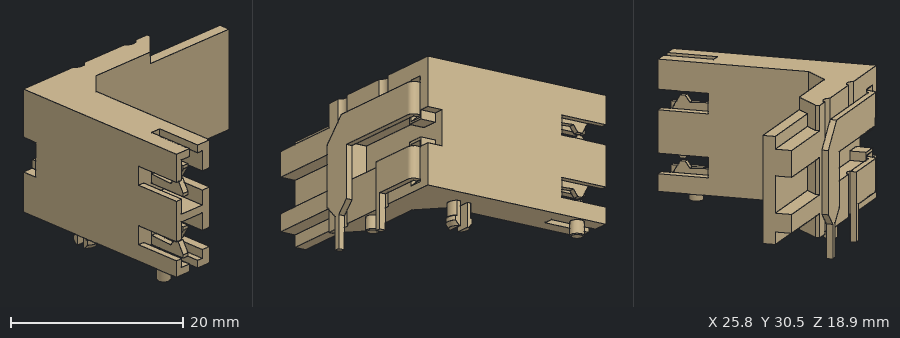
import cadquery as cq


LENGTH_X = 25.0
LENGTH_Y = 30.5
HEIGHT = 15.85
SIDE_ARM_THICKNESS = 3.55
CONTACT_ARM_THICKNESS = 5.5
INNER_CHAMFER = 2.95
BLOCK_END_Y = 20.5
BLOCK_END_FLAT = 0.5

RECESS_DEPTH = 2.0
ARM_PLATE_BOTTOM = 1.4
ARM_PLATE_TOP = 14.37
LOWER_RAIL_BOTTOM = 2.93
RECESS_BOTTOM = 5.2
RECESS_TOP = 9.65
UPPER_RAIL_TOP = 12.85

STOCK = 0.8
BLADE_Y = 2.17
BLADE_BACK_Y = BLADE_Y + STOCK
BLADE_MID_Y = BLADE_Y + STOCK / 2
BLADE_HEIGHT = 4.0
BLADE_TIP_X = 23.97
LOWER_BLADE_BOTTOM = 1.4
UPPER_BLADE_BOTTOM = 9.3
BLADE_BOTTOMS = (LOWER_BLADE_BOTTOM, UPPER_BLADE_BOTTOM)
UPPER_BLADE_TOP = UPPER_BLADE_BOTTOM + BLADE_HEIGHT

JAW_ROOT_HALF_GAP = 0.8
JAW_THROAT_X = 21.9
JAW_THROAT_HALF_GAP = 0.98
JAW_TIP_START_X = 22.5
JAW_TIP_END_X = 23.15
JAW_TIP_HALF_GAP = 0.15
JAW_MOUTH_HALF_GAP = 1.6

FUNNEL_FLARE = 0.55
COLLAR_FRONT_Y = 1.43
COLLAR_BACK_Y = 3.78
COLLAR_REACH = 1.13

CAVITY_DEPTH = 6.2
CAVITY_X = LENGTH_X - CAVITY_DEPTH
CAVITY_FRONT_Y = 0.85
CAVITY_BACK_Y = 2 * BLADE_MID_Y - CAVITY_FRONT_Y
CAVITY_WALL = 1.0
PARTITION_TOP = 7.87
SLOT_BACK_Y = 3.5
WINDOW_HEIGHT = 2.45
WINDOW_BOTTOMS = (2.15, 9.8)

TAIL_LENGTH = 3.05
UPPER_TAIL_Y = 17.65
LOWER_TAIL_Y = 9.18
GROOVE_WIDTH = 1.83
GROOVE_DEPTH = 0.52

PLATE_FRONT_Y = 15.68
PLATE_BACK_Y = 19.67
PLATE_CHAMFER = 2.95
PLATE_TAPER_BOTTOM = 1.13
PLATE_TAPER_TOP = 2.65

PEG_DIAMETER = 1.7
PEG_LENGTH = 1.8
PEG_CHAMFER = 0.12
PEG_INSET = 1.2
CONTACT_ARM_PEG_X = 21.75
SIDE_ARM_PEG_Y = 13.08

SNAP_X = 6.8
SNAP_Y = 3.6
SNAP_RADIUS = 1.4
SNAP_WIDTH = 2.07
SNAP_SPLIT = 1.0
BARB_RADIUS = 1.55
BARB_TOP = 1.85
BARB_BOTTOM = 2.47
SNAP_END_RADIUS = 1.22


def box(x_range, y_range, z_range):
    """Box spanning the given (low, high) ranges."""
    (x0, x1), (y0, y1), (z0, z1) = x_range, y_range, z_range
    return cq.Workplane("XY").box(x1 - x0, y1 - y0, z1 - z0, centered=False).translate((x0, y0, z0))


def housing_block():
    """L-shaped block with an inner corner chamfer and a slanted end on the side arm."""
    slant = SIDE_ARM_THICKNESS - BLOCK_END_FLAT
    return (
        cq.Workplane("XY")
        .moveTo(0, 0)
        .lineTo(LENGTH_X, 0)
        .lineTo(LENGTH_X, CONTACT_ARM_THICKNESS)
        .lineTo(SIDE_ARM_THICKNESS + INNER_CHAMFER, CONTACT_ARM_THICKNESS)
        .lineTo(SIDE_ARM_THICKNESS, CONTACT_ARM_THICKNESS + INNER_CHAMFER)
        .lineTo(SIDE_ARM_THICKNESS, BLOCK_END_Y - slant)
        .lineTo(BLOCK_END_FLAT, BLOCK_END_Y)
        .lineTo(0, BLOCK_END_Y)
        .close()
        .extrude(HEIGHT)
    )


def side_arm():
    """Back plate with two rails, starting inside the block and ending at the full length."""
    y_range = (BLOCK_END_Y - SIDE_ARM_THICKNESS, LENGTH_Y)
    arm = box((RECESS_DEPTH, SIDE_ARM_THICKNESS), y_range, (ARM_PLATE_BOTTOM, ARM_PLATE_TOP))
    for rail in ((LOWER_RAIL_BOTTOM, RECESS_BOTTOM), (RECESS_TOP, UPPER_RAIL_TOP)):
        arm = arm.union(box((0, RECESS_DEPTH), y_range, rail))
    return arm


def corner_recess():
    """Notch in the outer side face, leaving a collar for each funnel."""
    recess = box((0, RECESS_DEPTH), (0, PLATE_FRONT_Y), (RECESS_BOTTOM, RECESS_TOP))
    collar_ranges = (
        (RECESS_BOTTOM, RECESS_BOTTOM + COLLAR_REACH),
        (RECESS_TOP - COLLAR_REACH, RECESS_TOP),
    )
    for z_range in collar_ranges:
        recess = recess.cut(box((0, RECESS_DEPTH), (COLLAR_FRONT_Y, COLLAR_BACK_Y), z_range))
    return recess


def relief_groove(y):
    """Shallow round groove running up the outer side face."""
    return (
        cq.Workplane("XY")
        .moveTo(0, y - GROOVE_WIDTH / 2)
        .threePointArc((GROOVE_DEPTH, y), (0, y + GROOVE_WIDTH / 2))
        .close()
        .extrude(HEIGHT)
    )


def blade_passage(blade_bottom):
    """Fitted channel for a blade, with a 45 degree funnel at its entrance."""
    channel = box((0, CAVITY_X), (BLADE_Y, BLADE_BACK_Y), (blade_bottom, blade_bottom + BLADE_HEIGHT))
    funnel = (
        cq.Workplane("YZ")
        .center(BLADE_MID_Y, blade_bottom + BLADE_HEIGHT / 2)
        .rect(STOCK + 2 * FUNNEL_FLARE, BLADE_HEIGHT + 2 * FUNNEL_FLARE)
        .extrude(FUNNEL_FLARE, taper=45)
    )
    return channel.union(funnel)


def contact_openings():
    """Cavities around the jaws, slots above and below them, and windows through both walls."""
    x_range = (CAVITY_X, LENGTH_X)
    cavity_y = (CAVITY_FRONT_Y, CAVITY_BACK_Y)
    slot_y = (BLADE_Y, SLOT_BACK_Y)
    partition_bottom = PARTITION_TOP - CAVITY_WALL
    openings = [
        box(x_range, cavity_y, (CAVITY_WALL, partition_bottom)),
        box(x_range, cavity_y, (PARTITION_TOP, HEIGHT - CAVITY_WALL)),
        box(x_range, slot_y, (0, partition_bottom)),
        box(x_range, slot_y, (PARTITION_TOP, HEIGHT)),
    ]
    for bottom in WINDOW_BOTTOMS:
        openings.append(box(x_range, (0, CONTACT_ARM_THICKNESS), (bottom, bottom + WINDOW_HEIGHT)))
    return openings


def locating_peg(x, y):
    return (
        cq.Workplane("XY")
        .center(x, y)
        .circle(PEG_DIAMETER / 2)
        .extrude(-PEG_LENGTH)
        .faces("<Z")
        .chamfer(PEG_CHAMFER)
    )


def snap_peg():
    """Barbed round peg with two flats, split down the middle."""
    peg = (
        cq.Workplane("XZ")
        .moveTo(0, 0)
        .lineTo(SNAP_RADIUS, 0)
        .lineTo(SNAP_RADIUS, -BARB_TOP)
        .lineTo(BARB_RADIUS, -BARB_TOP)
        .lineTo(BARB_RADIUS, -BARB_BOTTOM)
        .lineTo(SNAP_END_RADIUS, -TAIL_LENGTH)
        .lineTo(0, -TAIL_LENGTH)
        .close()
        .revolve(360, (0, 0), (0, 1))
    )
    half_width = SNAP_WIDTH / 2
    half_split = SNAP_SPLIT / 2
    z_range = (-TAIL_LENGTH, 0)
    flats = box((-BARB_RADIUS, BARB_RADIUS), (-half_width, half_width), z_range)
    split = box((-half_split, half_split), (-half_width, half_width), z_range)
    return peg.intersect(flats).cut(split).translate((SNAP_X, SNAP_Y, 0))


def make_housing():
    body = housing_block().union(side_arm())
    for y in (LOWER_TAIL_Y, UPPER_TAIL_Y):
        body = body.cut(relief_groove(y))
    body = body.cut(corner_recess())
    for blade_bottom in BLADE_BOTTOMS:
        body = body.cut(blade_passage(blade_bottom))
    for opening in contact_openings():
        body = body.cut(opening)
    for x, y in ((PEG_INSET, SIDE_ARM_PEG_Y), (CONTACT_ARM_PEG_X, PEG_INSET)):
        body = body.union(locating_peg(x, y))
    return body.union(snap_peg())


def fork_blade(blade_bottom):
    """Flat blade along X with a pinched, flared fork at its tip."""
    middle = blade_bottom + BLADE_HEIGHT / 2
    opening = (
        (CAVITY_X, JAW_ROOT_HALF_GAP),
        (JAW_THROAT_X, JAW_THROAT_HALF_GAP),
        (JAW_TIP_START_X, JAW_TIP_HALF_GAP),
        (JAW_TIP_END_X, JAW_TIP_HALF_GAP),
        (BLADE_TIP_X, JAW_MOUTH_HALF_GAP),
    )
    upper_edge = [(x, middle + gap) for x, gap in opening]
    lower_edge = [(x, middle - gap) for x, gap in reversed(opening)]
    gap = (
        cq.Workplane("XZ", origin=(0, BLADE_BACK_Y, 0))
        .polyline(upper_edge + lower_edge)
        .close()
        .extrude(STOCK)
    )
    blade = box((0, BLADE_TIP_X), (BLADE_Y, BLADE_BACK_Y), (blade_bottom, blade_bottom + BLADE_HEIGHT))
    return blade.cut(gap)


def corner_bend(blade_bottom):
    """Quarter-round bend joining a blade to its plate on the outer side face."""
    diagonal = STOCK * 0.5**0.5
    return (
        cq.Workplane("XY", origin=(0, BLADE_BACK_Y, blade_bottom))
        .moveTo(0, 0)
        .lineTo(-STOCK, 0)
        .threePointArc((-diagonal, -diagonal), (0, -STOCK))
        .close()
        .extrude(BLADE_HEIGHT)
    )


def make_terminal(blade_bottom, plate_points):
    """One bent terminal: plate and tail on the side face, bend, and forked blade."""
    plate = cq.Workplane("YZ").polyline(plate_points).close().extrude(-STOCK)
    return plate.union(corner_bend(blade_bottom)).union(fork_blade(blade_bottom))


def upper_plate_points():
    tail_front = UPPER_TAIL_Y - STOCK / 2
    tail_back = UPPER_TAIL_Y + STOCK / 2
    return [
        (BLADE_BACK_Y, UPPER_BLADE_TOP),
        (PLATE_BACK_Y - PLATE_CHAMFER, UPPER_BLADE_TOP),
        (PLATE_BACK_Y, UPPER_BLADE_TOP - PLATE_CHAMFER),
        (PLATE_BACK_Y, PLATE_TAPER_TOP),
        (tail_back, PLATE_TAPER_BOTTOM),
        (tail_back, -TAIL_LENGTH),
        (tail_front, -TAIL_LENGTH),
        (tail_front, PLATE_TAPER_BOTTOM),
        (PLATE_FRONT_Y, PLATE_TAPER_TOP),
        (PLATE_FRONT_Y, UPPER_BLADE_BOTTOM),
        (BLADE_BACK_Y, UPPER_BLADE_BOTTOM),
    ]


def lower_plate_points():
    tail_front = LOWER_TAIL_Y - STOCK / 2
    tail_back = LOWER_TAIL_Y + STOCK / 2
    plate_top = LOWER_BLADE_BOTTOM + BLADE_HEIGHT
    return [
        (BLADE_BACK_Y, plate_top),
        (tail_back, plate_top),
        (tail_back, -TAIL_LENGTH),
        (tail_front, -TAIL_LENGTH),
        (tail_front, LOWER_BLADE_BOTTOM),
        (BLADE_BACK_Y, LOWER_BLADE_BOTTOM),
    ]


housing = make_housing()
upper_terminal = make_terminal(UPPER_BLADE_BOTTOM, upper_plate_points())
lower_terminal = make_terminal(LOWER_BLADE_BOTTOM, lower_plate_points())

result = cq.Compound.makeCompound([housing.val(), upper_terminal.val(), lower_terminal.val()])